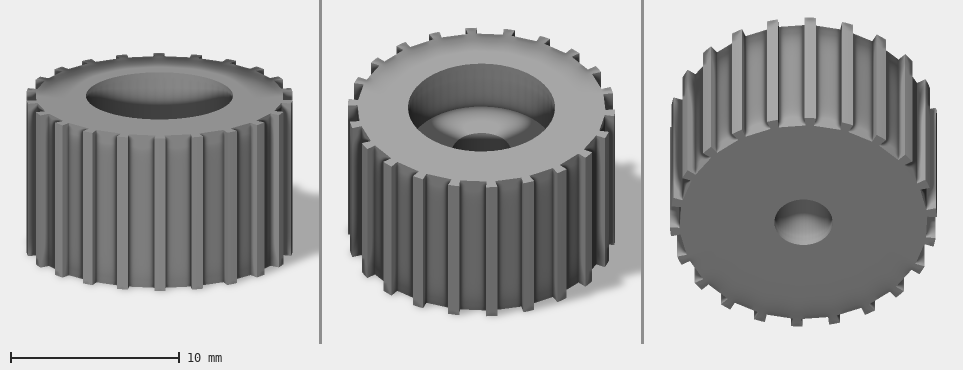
import cadquery as cq

outer_diameter = 15.87
height = 9.54
groove_count = 22
groove_width = 1.59
groove_floor_radius = 7.32
bore_diameter = 3.46
recess_diameter = 8.73
recess_depth = 3.17

groove_depth = outer_diameter / 2 - groove_floor_radius
cutter_depth = 2 * groove_depth


def make_blank():
    """Plain cylinder standing on the XY plane."""
    return cq.Workplane("XY").circle(outer_diameter / 2).extrude(height)


def make_groove_cutters():
    """Flat-bottomed, parallel-sided grooves, the first one centred on +X."""
    return (
        cq.Workplane("XY")
        .polarArray(groove_floor_radius + cutter_depth / 2, 0, 360, groove_count)
        .rect(cutter_depth, groove_width)
        .extrude(height)
    )


def cut_stepped_bore(body):
    """Through bore with a wider recess in the top face."""
    return body.faces(">Z").workplane().cboreHole(bore_diameter, recess_diameter, recess_depth)


toothed_wheel = make_blank().cut(make_groove_cutters())
result = cut_stepped_bore(toothed_wheel)